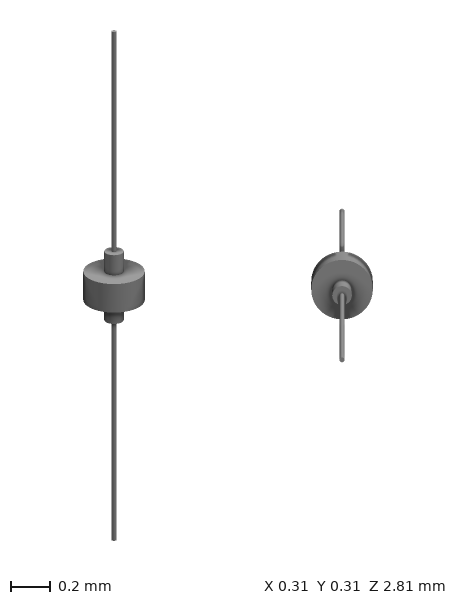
import cadquery as cq

overall_length = 2.81
wire_diameter = 0.025
sleeve_diameter = 0.098
sleeve_length = 0.38
disc_diameter = 0.31
disc_thickness = 0.157


def centred_cylinder(diameter, length):
    """Cylinder along Z, centred on the origin."""
    return cq.Workplane("XY").workplane(offset=-length / 2).circle(diameter / 2).extrude(length)


wire = centred_cylinder(wire_diameter, overall_length)
sleeve = centred_cylinder(sleeve_diameter, sleeve_length)
disc = centred_cylinder(disc_diameter, disc_thickness)

result = wire.union(sleeve).union(disc)